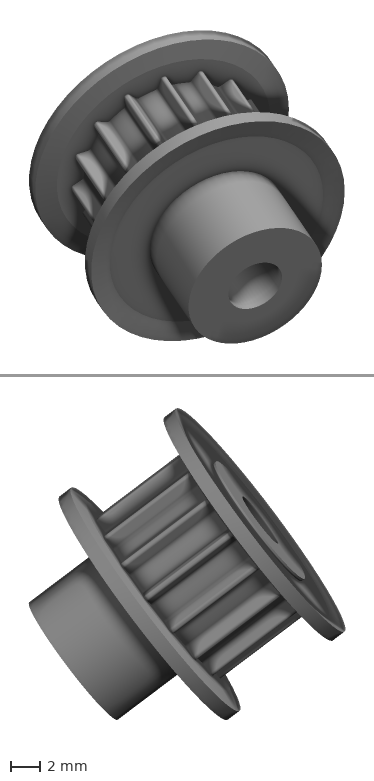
import cadquery as cq
import math


total_length = 16.0
flanged_length = 10.0

flange_radius = 19 / 2
flange_flat_radius = 16.0 / 2
flange_thickness = 1.0
flange_dish = 0.25

hub_radius = 10.0 / 2
bore_radius = 4.0 / 2

tooth_count = 15
tip_radius = 6.95
root_radius = 5.98
tip_width = 0.35
flank_angle = 18
tip_fillet = 0.19
root_fillet = 0.23

tooth_pitch = 360 / tooth_count
first_tooth_angle = 90


def polar(radius, angle):
    """Point at an angle in degrees from +Y towards +Z."""
    return (radius * math.cos(math.radians(angle)), radius * math.sin(math.radians(angle)))


def tooth_half_angles():
    """Half angles of the sharp tip and of the sharp root of a tooth, in degrees."""
    slope = math.radians(flank_angle)
    tip_half_angle = math.asin(tip_width / 2 / tip_radius)
    flank_distance = tip_radius * math.sin(tip_half_angle + slope)
    root_half_angle = math.asin(flank_distance / root_radius) - slope
    return math.degrees(tip_half_angle), math.degrees(root_half_angle)


def toothed_drum(start, end):
    """Toothed drum between two places on the X axis."""
    tip_half_angle, root_half_angle = tooth_half_angles()
    outline = cq.Workplane("YZ", origin=(start, 0, 0))
    outline = outline.moveTo(*polar(root_radius, first_tooth_angle - root_half_angle))
    for tooth in range(tooth_count):
        centre = first_tooth_angle + tooth * tooth_pitch
        next_root = centre + tooth_pitch - root_half_angle
        outline = outline.lineTo(*polar(tip_radius, centre - tip_half_angle))
        outline = outline.threePointArc(
            polar(tip_radius, centre), polar(tip_radius, centre + tip_half_angle)
        )
        outline = outline.lineTo(*polar(root_radius, centre + root_half_angle))
        outline = outline.threePointArc(
            polar(root_radius, centre + tooth_pitch / 2), polar(root_radius, next_root)
        )
    drum = outline.close().extrude(end - start).val()

    middle_radius = (tip_radius + root_radius) / 2
    root_corners = [edge for edge in lengthwise_edges(drum) if axis_distance(edge) < middle_radius]
    drum = drum.fillet(root_fillet, root_corners)
    tip_corners = [edge for edge in lengthwise_edges(drum) if axis_distance(edge) > middle_radius]
    return cq.Workplane(drum.fillet(tip_fillet, tip_corners))


def lengthwise_edges(solid):
    """Edges of a solid that run along the X axis."""
    return cq.Workplane(solid).edges("|X").vals()


def axis_distance(edge):
    """Distance of an edge's middle from the X axis."""
    middle = edge.Center()
    return math.hypot(middle.y, middle.z)


def cylinder(radius, start, end):
    """Solid cylinder about the X axis."""
    return cq.Workplane("YZ", origin=(start, 0, 0)).circle(radius).extrude(end - start)


def flange(outer_face, inward):
    """Dished flange; inward is +1 or -1, the X direction from its outer face to the belt."""
    rim_inner = outer_face + inward * flange_thickness
    flat_outer = outer_face + inward * flange_dish
    flat_inner = flat_outer + inward * flange_thickness
    section = (
        cq.Workplane("XY")
        .moveTo(flat_outer, 0)
        .lineTo(flat_outer, flange_flat_radius)
        .lineTo(outer_face, flange_radius)
        .lineTo(rim_inner, flange_radius)
        .lineTo(flat_inner, flange_flat_radius)
        .lineTo(flat_inner, 0)
        .close()
    )
    return section.revolve(360, (0, 0, 0), (1, 0, 0))


drum_start = flange_dish + flange_thickness
drum_end = flanged_length - drum_start

body = toothed_drum(drum_start, drum_end)
body = body.union(flange(0, 1)).union(flange(flanged_length, -1))

body = body.union(cylinder(hub_radius, 0, total_length))

result = body.cut(cylinder(bore_radius, 0, total_length))